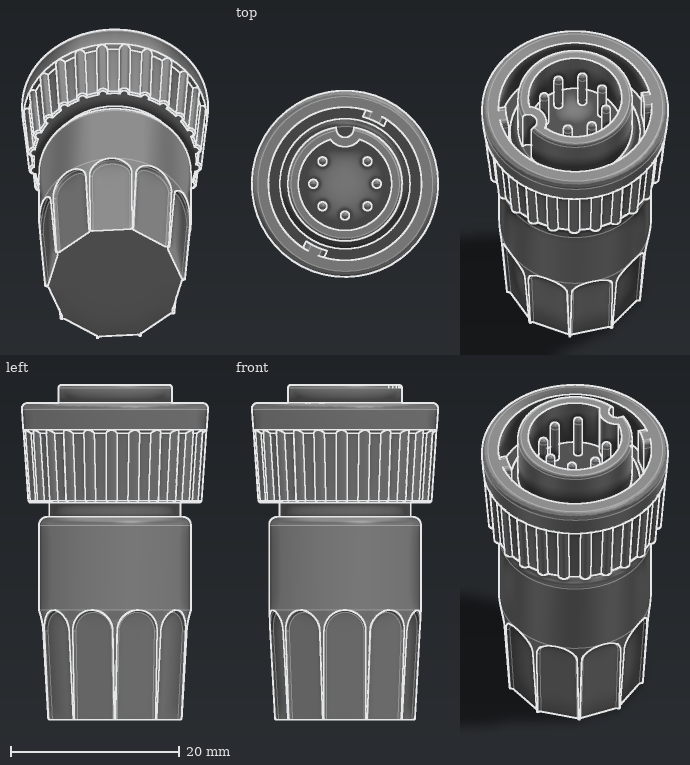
import cadquery as cq
import math

overlap = 0.5

total_height = 39.88
ring_diameter = 22.22

grip_top = 13.1
grip_bottom_radius = 8.34
grip_bottom_round = 0.25
pocket_count = 10
pocket_half_width = 2.5
pocket_bottom_apothem = 7.62
pocket_top_apothem = 8.42
pocket_corner_radius = 0.28
pocket_reach = 3.0
pocket_overrun = 1.0

body_radius = 9.06
body_top = 24.18
body_shoulder_radius = 1.0
neck_radius = 7.83

ring_bottom = 25.85
ring_top = 37.73
ring_edge_radius = 0.7
ring_radius = ring_diameter / 2
ring_bottom_radius = 10.35
ring_bore_radius = 9.12
ring_floor = 32.25
collar_bottom = 34.5
collar_bevel = 0.4
rib_count = 24
rib_radius = 0.68
rib_height = 0.5
rib_crest_inset = 0.03
ring_bottom_chamfer = 0.2
rib_phase = -92.2

lug_inner_radius = 8.25
lug_angle = 65.5
lug_width = 2.75
lug_round = 0.7

shoulder_radius = 7.75
shoulder_height = 1.0
shoulder_top = ring_floor + shoulder_height
shoulder_round = 0.9
insert_radius = 6.8
insert_edge_radius = 0.35
insert_bore_radius = 5.56
insert_floor = 33.2

key_center = 6.55
key_outer_radius = 2.15
key_groove_radius = 1.03

pin_radius = 0.52
pin_circle_radius = 3.78
pin_top = 39.1
pin_angles = (0, 45, 135, 180, 225, 270, 315)


def cylinder(radius, bottom, top):
    return cq.Workplane("XY").workplane(offset=bottom).circle(radius).extrude(top - bottom)


def ring_cone_radius(z):
    """Radius of the cone that carries the collar and the rib crests."""
    widest = ring_top - ring_edge_radius
    slope = (ring_radius - ring_bottom_radius) / (widest - ring_bottom)
    return ring_bottom_radius + slope * (z - ring_bottom)


def make_pocket_cutter():
    """Arched prism for the -Y pocket; its inner face is the sloping pocket floor."""
    slope = math.atan2(pocket_top_apothem - pocket_bottom_apothem, grip_top)
    floor = cq.Plane(
        origin=(0, -pocket_bottom_apothem, 0),
        xDir=(1, 0, 0),
        normal=(0, -math.cos(slope), -math.sin(slope)),
    )
    arch_top = grip_top / math.cos(slope)
    arch_base = arch_top - pocket_half_width
    return (
        cq.Workplane(floor)
        .moveTo(-pocket_half_width, -pocket_overrun)
        .lineTo(pocket_half_width, -pocket_overrun)
        .lineTo(pocket_half_width, arch_base)
        .threePointArc((0, arch_top), (-pocket_half_width, arch_base))
        .close()
        .extrude(pocket_reach)
        .faces(">Y")
        .edges()
        .fillet(pocket_corner_radius)
    )


def make_grip():
    """Tapered grip with evenly spaced pockets around it."""
    grip = (
        cq.Workplane("XZ")
        .polyline([(0, 0), (grip_bottom_radius, 0), (body_radius, grip_top), (0, grip_top)])
        .close()
        .revolve(360, (0, 0), (0, 1))
        .faces("<Z")
        .edges()
        .fillet(grip_bottom_round)
    )
    cutter = make_pocket_cutter()
    for index in range(pocket_count):
        grip = grip.cut(cutter.rotate((0, 0, 0), (0, 0, 1), index * 360 / pocket_count))
    return grip


def make_body():
    """Round body with a neck that carries the coupling ring."""
    body = cylinder(body_radius, grip_top, body_top)
    body = body.faces(">Z").edges().fillet(body_shoulder_radius)
    return body.union(cylinder(neck_radius, body_top - body_shoulder_radius, ring_floor))


def make_rib(angle):
    """Round rib that leans with the ring cone; its lower end overruns the ring bottom."""
    inset = rib_radius + rib_crest_inset
    bottom = ring_bottom - rib_radius
    top = collar_bottom + collar_bevel
    start = cq.Vector(ring_cone_radius(bottom) - inset, 0, bottom)
    end = cq.Vector(ring_cone_radius(top) - inset, 0, top)
    axis = end - start
    rib = cq.Solid.makeCylinder(rib_radius, axis.Length, start, axis)
    return rib.rotate(cq.Vector(0, 0, 0), cq.Vector(0, 0, 1), angle)


def make_ring():
    """Coupling ring: plain collar above, ribs below, open bore from the top."""
    bevel_bottom = collar_bottom - collar_bevel
    profile = [
        (0, ring_bottom),
        (ring_bottom_radius - rib_height, ring_bottom),
        (ring_cone_radius(bevel_bottom) - rib_height, bevel_bottom),
        (ring_cone_radius(collar_bottom), collar_bottom),
        (ring_radius, ring_top - ring_edge_radius),
        (ring_radius, ring_top),
        (0, ring_top),
    ]
    ring = cq.Workplane("XZ").polyline(profile).close().revolve(360, (0, 0), (0, 1))
    ring = ring.faces(">Z").edges().fillet(ring_edge_radius)
    ribs = [make_rib(rib_phase + index * 360 / rib_count) for index in range(rib_count)]
    for rib in ribs:
        ring = ring.union(cq.Workplane(rib))
    ring = ring.cut(cylinder(ring_radius, ring_bottom - 2 * rib_radius, ring_bottom))
    ring = ring.faces("<Z").edges().chamfer(ring_bottom_chamfer)
    return ring.cut(cylinder(ring_bore_radius, ring_floor, ring_top))


def make_lugs():
    """Two opposite lugs on the ring bore, with rounded upper ends."""
    band = cylinder(ring_bore_radius + overlap, ring_floor, ring_top)
    band = band.cut(cylinder(lug_inner_radius, ring_floor, ring_top))
    block = (
        cq.Workplane("XY")
        .box(2 * ring_radius, lug_width, ring_top - ring_floor, centered=(True, True, False))
        .edges("|X and >Z")
        .fillet(lug_round)
        .rotate((0, 0, 0), (0, 0, 1), lug_angle)
        .translate((0, 0, ring_floor))
    )
    return band.intersect(block)


def make_insert():
    """Hollow insert with its grooved key and the rounded shoulder at its foot."""
    shoulder = cylinder(shoulder_radius, ring_floor, shoulder_top)
    shoulder = shoulder.faces(">Z").edges().fillet(shoulder_round)
    insert = cylinder(insert_radius, ring_floor, total_height)
    insert = insert.faces(">Z").edges().fillet(insert_edge_radius)
    bore = cylinder(insert_bore_radius, insert_floor, total_height)
    key = cylinder(key_outer_radius, insert_floor, total_height).translate((0, key_center, 0))
    groove = cylinder(key_groove_radius, shoulder_top, total_height).translate((0, key_center, 0))
    return insert.cut(bore.cut(key)).cut(groove).union(shoulder)


def make_pin(angle):
    """Contact pin with a domed tip."""
    x = pin_circle_radius * math.cos(math.radians(angle))
    y = pin_circle_radius * math.sin(math.radians(angle))
    dome_center = pin_top - pin_radius
    shaft = cylinder(pin_radius, insert_floor - overlap, dome_center)
    dome = cq.Workplane("XY").sphere(pin_radius).translate((0, 0, dome_center))
    return shaft.union(dome).translate((x, y, 0))


result = make_grip().union(make_body()).union(make_ring())
result = result.union(make_lugs()).union(make_insert())
for pin_angle in pin_angles:
    result = result.union(make_pin(pin_angle))